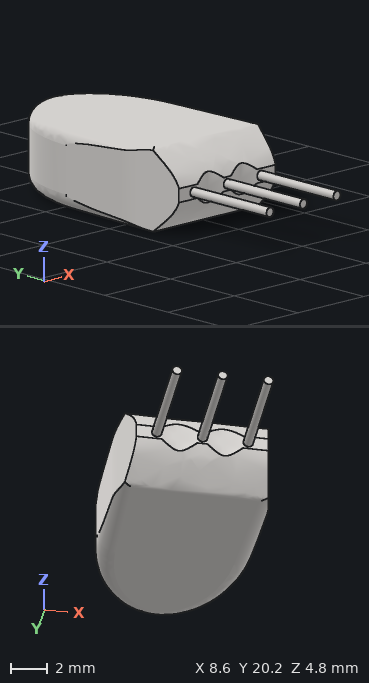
import cadquery as cq
import math

overall_length = 20.22
pin_length = 5.99
housing_length = overall_length - pin_length
housing_width = 8.6
housing_height = 4.8
half_width = housing_width / 2
half_height = housing_height / 2

nose_length = 6.05
flank_flare = 0.045
rim_radius = 1.01

terminal_face_width = 7.34
taper_length = 3.32
taper_blend_radius = 5.05

terminal_face_height = 0.79
end_curve_length = 2.02
end_curve_middles = [(0.26, 0.9), (0.89, 1.6), (1.64, 2.25)]
end_curve_start_slope = 3.0

pin_count = 3
pin_pitch = 2.54
pin_diameter = 0.55
notch_width = 1.98
notch_depth = 0.25
notch_flank_slope = 0.25


def centred_row(count):
    """X positions of a row at pin pitch, centred on X = 0."""
    return [(i - (count - 1) / 2) * pin_pitch for i in range(count)]


def slab_plane():
    """Work plane at the underside of the housing, facing +Z."""
    return cq.Workplane("XY").workplane(offset=-half_height)


def make_shell():
    """Flaring slab with an elliptical nose and rounded rims on its top and bottom faces."""
    nose_start = housing_length - nose_length
    centre_drop = flank_flare * nose_length**2 / (half_width - 2 * flank_flare * nose_length)
    semi_length = nose_length + centre_drop
    semi_width = half_width / math.sqrt(1 - (centre_drop / semi_length) ** 2)
    start_angle = math.degrees(math.asin(centre_drop / semi_length))
    base_half_width = half_width + flank_flare * nose_start
    nose = (
        slab_plane()
        .center(0, nose_start - centre_drop)
        .ellipseArc(semi_width, semi_length, start_angle, 180 - start_angle, startAtCurrent=False)
        .val()
    )
    corners = [
        (-half_width, nose_start),
        (-base_half_width, 0),
        (base_half_width, 0),
        (half_width, nose_start),
    ]
    points = [cq.Vector(x, y, -half_height) for x, y in corners]
    sides = [cq.Edge.makeLine(a, b) for a, b in zip(points, points[1:])]
    outline = cq.Wire.assembleEdges([nose, *sides])
    slab = cq.Workplane("XY").add(outline).toPending().extrude(housing_height)
    return slab.faces("|Z").edges("not <Y").fillet(rim_radius)


def make_side_envelope():
    """Prism that flattens the sides and tapers them towards the terminal face."""
    half_face = terminal_face_width / 2
    straight_sides = (
        slab_plane()
        .center(0, (taper_length + housing_length) / 2)
        .rect(housing_width, housing_length - taper_length)
        .extrude(housing_height)
    )
    tapered_sides = (
        slab_plane()
        .polyline([
            (-half_face, 0),
            (half_face, 0),
            (half_width, taper_length),
            (-half_width, taper_length),
        ])
        .close()
        .extrude(housing_height)
    )
    taper_edges = cq.selectors.BoxSelector(
        (-housing_width, taper_length / 2, -half_height),
        (housing_width, taper_length * 1.5, half_height),
    )
    envelope = straight_sides.union(tapered_sides)
    return envelope.edges("|Z").edges(taper_edges).fillet(taper_blend_radius)


def make_end_envelope():
    """Prism along X whose mirrored curves lead from the terminal face to the flat faces."""
    curve = [(0, terminal_face_height / 2), *end_curve_middles, (end_curve_length, half_height)]
    return (
        cq.Workplane("YZ")
        .workplane(offset=-half_width)
        .moveTo(0, 0)
        .lineTo(*curve[0])
        .spline(curve[1:], tangents=[(1, end_curve_start_slope), (1, 0)], includeCurrent=True)
        .lineTo(housing_length, half_height)
        .lineTo(housing_length, 0)
        .mirrorX()
        .extrude(housing_width)
    )


def make_notch(x):
    """Full-height shallow groove with a rounded bottom, centred on x in the terminal face."""
    half_notch = notch_width / 2
    return (
        slab_plane()
        .spline(
            [(x - half_notch, 0), (x, notch_depth), (x + half_notch, 0)],
            tangents=[(1, notch_flank_slope), (1, -notch_flank_slope)],
        )
        .close()
        .extrude(housing_height)
    )


def make_housing():
    """Shell trimmed by the side and end envelopes, with a notch between each pair of pins."""
    housing = make_shell().intersect(make_side_envelope()).intersect(make_end_envelope())
    for x in centred_row(pin_count - 1):
        housing = housing.cut(make_notch(x))
    return housing


def make_pin(x):
    """Round pin standing on the terminal face and running towards -Y."""
    return cq.Workplane("XZ").center(x, 0).circle(pin_diameter / 2).extrude(pin_length)


housing = make_housing()
pins = [make_pin(x) for x in centred_row(pin_count)]

result = cq.Compound.makeCompound([housing.val(), *[pin.val() for pin in pins]])